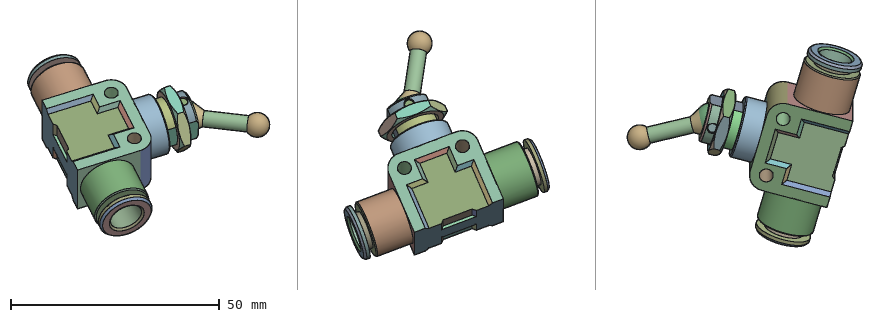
import cadquery as cq
import math


BODY_WIDTH = 23.0
BODY_HEIGHT = 15.0
BODY_BACK = 12.5
BODY_FRONT = -7.75
CORNER_RADIUS = 4.0
MOUNT_HOLE_DIAMETER = 3.3

RECESS_DEPTH = 1.0
RECESS_TAPER = 45.0
RECESS_WIDE = 17.4
RECESS_NARROW = 9.0
RECESS_STEP_Y = 4.3
RECESS_BACK_Y = 9.6

NOTCH_DEPTH = 0.75
NOTCH_WEB = 5.0

TUBE_DIAMETER = 14.0
TUBE_END = 21.0
TUBE_CHAMFER = 0.3
RING_NECK_DIAMETER = 9.4
RING_DIAMETER = 13.5
RING_START = 22.5
RING_END = 24.0
RING_CHAMFER_LENGTH = 0.6
RING_CHAMFER_HEIGHT = 0.5
BORE_DIAMETER = 8.0
BORE_DEPTH = 12.0
BORE_CHAMFER = 0.5

COLLAR_DIAMETER = 15.0
COLLAR_END = 17.8
COLLAR_CHAMFER = 0.3
THREAD_DIAMETER = 12.0
THREAD_END = 26.0
THREAD_CHAMFER = 0.5
THREAD_FLATS = 10.0

NUT_ACROSS_FLATS = 15.0
NUT_START = 20.2
NUT_THICKNESS = 3.0
NUT_FACE_DIAMETER = 14.7
NUT_CHAMFER_ANGLE = 30.0

PIVOT_Y = 24.0
PIVOT_RADIUS = 4.25
PIVOT_PIN_DIAMETER = 2.5
PIVOT_PIN_LENGTH = 11.0
PIVOT_PIN_CHAMFER = 0.15
LEVER_ANGLE = 30.0
LEVER_LENGTH = 18.0
ROD_RADIUS = 2.0
ROD_START = 5.0
CONE_HALF_ANGLE = 30.0
BALL_RADIUS = 3.0


def cylinder_y(diameter, start, end):
    """Cylinder about the Y axis between two Y positions."""
    plane = cq.Workplane("XZ", origin=(0, start, 0))
    return plane.circle(diameter / 2).extrude(start - end)


def revolve_about_x(profile):
    """Solid of revolution about the X axis from (X, radius) points."""
    return cq.Workplane("XY").polyline(profile).close().revolve(360, (0, 0, 0), (1, 0, 0))


def sloped_recess(width, back_y):
    """Rectangular recess for the upper face, running out through the front."""
    run_out = BODY_FRONT - 2 * RECESS_DEPTH
    length = back_y - run_out
    plane = cq.Workplane("XY", origin=(0, run_out + length / 2, BODY_HEIGHT / 2))
    return plane.rect(width, length).extrude(-RECESS_DEPTH, taper=RECESS_TAPER)


def recess_cutter():
    """T-shaped recess made of a wide front part and a narrow part reaching further back."""
    wide = sloped_recess(RECESS_WIDE, RECESS_STEP_Y)
    narrow = sloped_recess(RECESS_NARROW, RECESS_BACK_Y)
    return wide.union(narrow)


def notch_cutter():
    """Front notch with 45 degree side walls, from the web up to the upper face."""
    mouth = RECESS_NARROW / 2
    floor = mouth - NOTCH_DEPTH
    outline = [
        (-mouth, BODY_FRONT),
        (mouth, BODY_FRONT),
        (floor, BODY_FRONT + NOTCH_DEPTH),
        (-floor, BODY_FRONT + NOTCH_DEPTH),
    ]
    plane = cq.Workplane("XY", origin=(0, 0, NOTCH_WEB / 2))
    return plane.polyline(outline).close().extrude((BODY_HEIGHT - NOTCH_WEB) / 2)


def make_body():
    length = BODY_BACK - BODY_FRONT
    middle_y = (BODY_BACK + BODY_FRONT) / 2
    body = cq.Workplane("XY").box(BODY_WIDTH, length, BODY_HEIGHT)
    body = body.translate((0, middle_y, 0))
    body = body.edges("|Z and >Y").fillet(CORNER_RADIUS)

    hole_x = BODY_WIDTH / 2 - CORNER_RADIUS
    hole_y = BODY_BACK - CORNER_RADIUS
    holes = cq.Workplane("XY").pushPoints([(-hole_x, hole_y), (hole_x, hole_y)])
    body = body.cut(holes.circle(MOUNT_HOLE_DIAMETER / 2).extrude(BODY_HEIGHT / 2, both=True))

    for cutter in (recess_cutter(), notch_cutter()):
        body = body.cut(cutter).cut(cutter.mirror("XY"))
    return body


def make_port():
    """Port on the +X side: tube, release-ring neck and release ring."""
    tube = TUBE_DIAMETER / 2
    neck = RING_NECK_DIAMETER / 2
    ring = RING_DIAMETER / 2
    profile = [
        (BODY_WIDTH / 2, 0),
        (BODY_WIDTH / 2, tube),
        (TUBE_END - TUBE_CHAMFER, tube),
        (TUBE_END, tube - TUBE_CHAMFER),
        (TUBE_END, neck),
        (RING_START, neck),
        (RING_START, ring),
        (RING_END - RING_CHAMFER_LENGTH, ring),
        (RING_END, ring - RING_CHAMFER_HEIGHT),
        (RING_END, 0),
    ]
    return revolve_about_x(profile)


def port_bore():
    """Blind tube bore of the +X port with a chamfered mouth."""
    bottom = RING_END - BORE_DEPTH
    radius = BORE_DIAMETER / 2
    profile = [
        (bottom, 0),
        (bottom, radius),
        (RING_END - BORE_CHAMFER, radius),
        (RING_END, radius + BORE_CHAMFER),
        (RING_END, 0),
    ]
    return revolve_about_x(profile)


def make_neck():
    """Collar and threaded neck, the thread flattened on both X sides."""
    collar = cylinder_y(COLLAR_DIAMETER, BODY_BACK, COLLAR_END)
    collar = collar.faces(">Y").chamfer(COLLAR_CHAMFER)
    thread = cylinder_y(THREAD_DIAMETER, COLLAR_END, THREAD_END)
    thread = thread.faces(">Y").chamfer(THREAD_CHAMFER)
    flats = cq.Workplane("XY").box(THREAD_FLATS, 2 * THREAD_END, THREAD_DIAMETER)
    return collar.union(thread.intersect(flats))


def make_nut():
    """Hexagon nut bored to the thread, flats facing +Z and -Z, both faces chamfered."""
    across_corners = NUT_ACROSS_FLATS / math.cos(math.radians(30))
    plane = cq.Workplane("XZ", origin=(0, NUT_START, 0))
    hexagon = plane.polygon(6, across_corners).extrude(-NUT_THICKNESS)

    face_radius = NUT_FACE_DIAMETER / 2
    corner_radius = across_corners / 2
    drop = (corner_radius - face_radius) * math.tan(math.radians(NUT_CHAMFER_ANGLE))
    nut_end = NUT_START + NUT_THICKNESS
    profile = [
        (0, NUT_START),
        (face_radius, NUT_START),
        (corner_radius, NUT_START + drop),
        (corner_radius, nut_end - drop),
        (face_radius, nut_end),
        (0, nut_end),
    ]
    envelope = cq.Workplane("XY").polyline(profile).close().revolve(360, (0, 0, 0), (0, 1, 0))
    bore = cylinder_y(THREAD_DIAMETER, NUT_START, nut_end)
    return hexagon.intersect(envelope).cut(bore)


def pin_cylinder(length):
    """Cylinder of the pivot pin's diameter along Z, centred on the neck axis."""
    plane = cq.Workplane("XY").center(0, PIVOT_Y)
    return plane.circle(PIVOT_PIN_DIAMETER / 2).extrude(length / 2, both=True)


def fit_pivot_pin(neck):
    """Drill the neck for the cross pin and fit the pin with its chamfered ends sunk in."""
    hole = pin_cylinder(THREAD_DIAMETER)
    pin = pin_cylinder(PIVOT_PIN_LENGTH).faces("<Z or >Z").chamfer(PIVOT_PIN_CHAMFER)
    return neck.cut(hole).union(pin)


def make_lever():
    """Pivot ball, cone, rod and end ball, revolved upright and then tilted."""
    half_angle = math.radians(CONE_HALF_ANGLE)
    axis_distance = ROD_START * math.sin(half_angle) + ROD_RADIUS * math.cos(half_angle)
    cone_angle = half_angle + math.acos(axis_distance / PIVOT_RADIUS)
    cone_radius = PIVOT_RADIUS * math.cos(cone_angle)
    cone_height = PIVOT_RADIUS * math.sin(cone_angle)
    rod_end = LEVER_LENGTH - math.sqrt(BALL_RADIUS**2 - ROD_RADIUS**2)

    profile = (
        cq.Workplane("XY")
        .moveTo(0, -PIVOT_RADIUS)
        .threePointArc((PIVOT_RADIUS, 0), (cone_radius, cone_height))
        .lineTo(ROD_RADIUS, ROD_START)
        .lineTo(ROD_RADIUS, rod_end)
        .threePointArc((BALL_RADIUS, LEVER_LENGTH), (0, LEVER_LENGTH + BALL_RADIUS))
        .close()
    )
    lever = profile.revolve(360, (0, 0, 0), (0, 1, 0))
    lever = lever.rotate((0, 0, 0), (0, 0, 1), -LEVER_ANGLE)
    return lever.translate((0, PIVOT_Y, 0))


port = make_port()
bore = port_bore()

result = make_body().union(port).union(port.mirror("YZ"))
result = result.cut(bore).cut(bore.mirror("YZ"))
for piece in (fit_pivot_pin(make_neck()), make_nut(), make_lever()):
    result = result.union(piece)